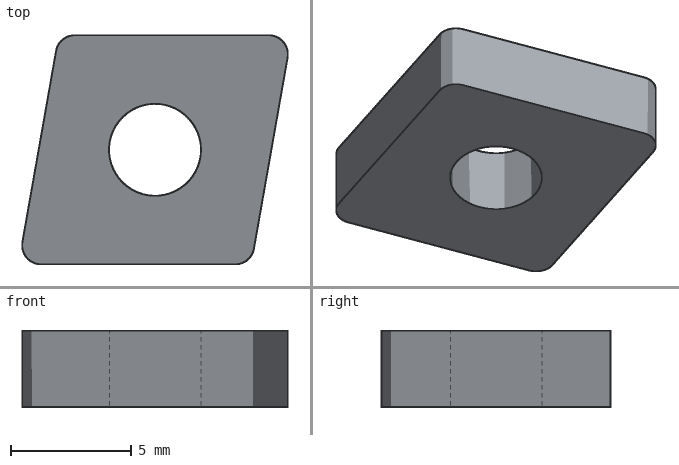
import cadquery as cq
import math

inscribed_circle = 9.525
acute_angle = math.radians(80)
thickness = 3.18
corner_radius = 0.8
hole_diameter = 3.81

side_length = inscribed_circle / math.sin(acute_angle)
side_lean = inscribed_circle / math.tan(acute_angle)


def rhombus_body():
    """Rhombic plate centred on the Z axis, with all four upright corners rounded."""
    half_depth = inscribed_circle / 2
    near_x = (side_length - side_lean) / 2
    far_x = (side_length + side_lean) / 2
    corners = [
        (-far_x, -half_depth),
        (near_x, -half_depth),
        (far_x, half_depth),
        (-near_x, half_depth),
    ]
    plate = cq.Workplane("XY").polyline(corners).close().extrude(thickness)
    return plate.edges("|Z").fillet(corner_radius)


def clamping_hole():
    """Cylinder removed through the full thickness at the centre."""
    return cq.Workplane("XY").circle(hole_diameter / 2).extrude(thickness)


result = rhombus_body().cut(clamping_hole())